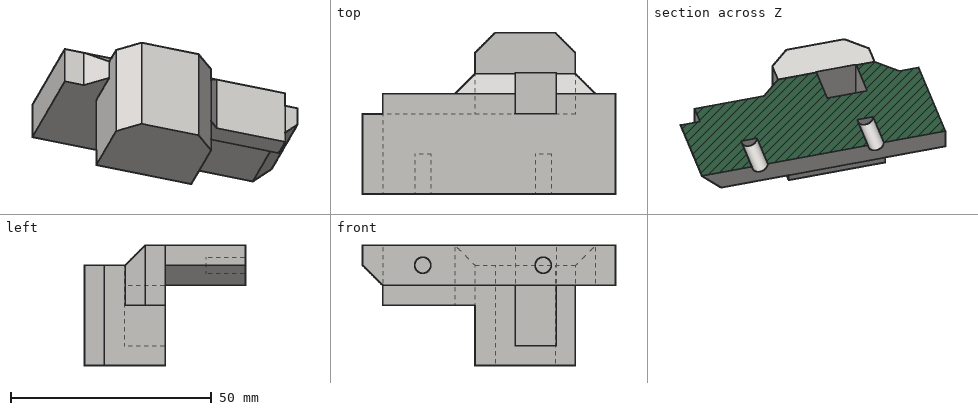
import cadquery as cq

plate_length = 63.0
plate_depth = 20.0
plate_thickness = 10.0
end_chamfer = 5.0

rail_depth = 5.0
rail_start = 5.0
rail_height = 15.0
block_start = 28.0
block_end = 53.0
block_height = 30.0
block_corner = 5.0
total_depth = 40.2

shoulder_drop = 5.0
shoulder_depth = 5.0

pocket_start = 38.0
pocket_width = 10.2
pocket_depth = 10.2
pocket_height = 25.0

hole_diameter = 4.0
hole_depth = 10.0
hole_positions = (15.0, 45.0)

rail_back = plate_depth + rail_depth
block_front = rail_back + shoulder_depth


def extrude_front_profile(points, y_start, y_end):
    """Extrude an XZ outline along +Y from y_start to y_end."""
    plane = cq.Workplane("XZ", origin=(0, y_start, 0))
    return plane.polyline(points).close().extrude(y_start - y_end)


def make_plate():
    outline = [
        (0, 0),
        (plate_length, 0),
        (plate_length, -plate_thickness),
        (end_chamfer, -plate_thickness),
        (0, -plate_thickness + end_chamfer),
    ]
    return extrude_front_profile(outline, 0, plate_depth)


def make_rear_body():
    """Stepped rear profile, trimmed in plan and along the sloped shoulder."""
    stepped_outline = [
        (rail_start, 0),
        (plate_length, 0),
        (plate_length, -plate_thickness),
        (block_end, -plate_thickness),
        (block_end, -block_height),
        (block_start, -block_height),
        (block_start, -rail_height),
        (rail_start, -rail_height),
    ]
    body = extrude_front_profile(stepped_outline, plate_depth, total_depth)

    plan_outline = [
        (rail_start, plate_depth),
        (plate_length, plate_depth),
        (plate_length, rail_back),
        (block_end + shoulder_depth, rail_back),
        (block_end, block_front),
        (block_end, total_depth - block_corner),
        (block_end - block_corner, total_depth),
        (block_start + block_corner, total_depth),
        (block_start, total_depth - block_corner),
        (block_start, block_front),
        (block_start - shoulder_depth, rail_back),
        (rail_start, rail_back),
    ]
    plan = cq.Workplane("XY").polyline(plan_outline).close().extrude(-block_height)

    side_outline = [
        (plate_depth, 0),
        (rail_back, 0),
        (block_front, -shoulder_drop),
        (total_depth, -shoulder_drop),
        (total_depth, -block_height),
        (plate_depth, -block_height),
    ]
    side = cq.Workplane("YZ").polyline(side_outline).close().extrude(plate_length)
    return body.intersect(plan).intersect(side)


def make_pocket():
    pocket = cq.Workplane("XY").box(pocket_width, pocket_depth, pocket_height, centered=False)
    return pocket.translate((pocket_start, plate_depth, -pocket_height))


def make_hole(x):
    plane = cq.Workplane("XZ", origin=(x, 0, -plate_thickness / 2))
    return plane.circle(hole_diameter / 2).extrude(-hole_depth)


result = make_plate().union(make_rear_body()).cut(make_pocket())
for hole_x in hole_positions:
    result = result.cut(make_hole(hole_x))